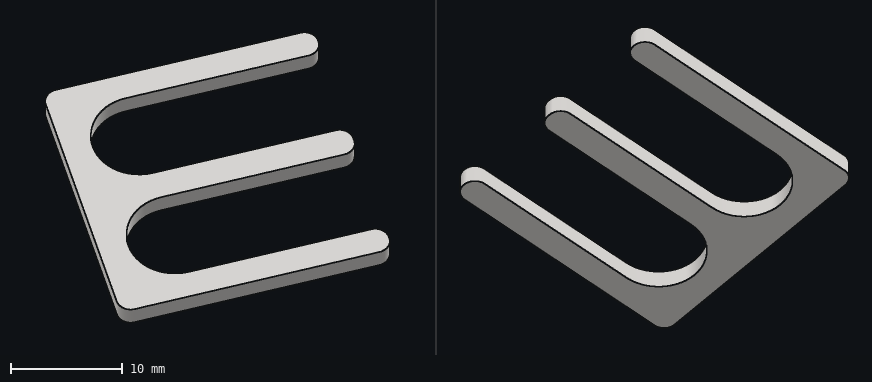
import cadquery as cq

side = 25.4
thickness = 2.0
corner_radius = 1.3

slot_width = 8.64
slot_pitch = 11.45
base_width = 2.75

slot_radius = slot_width / 2
slot_center_y = -side / 2 + base_width + slot_radius
slot_straight_length = side / 2 - slot_center_y


def slot_cutter(center_x):
    """Through slot with a semicircular bottom and an open +Y end."""
    round_bottom = (
        cq.Workplane("XY")
        .center(center_x, slot_center_y)
        .circle(slot_radius)
        .extrude(thickness)
    )
    straight = (
        cq.Workplane("XY")
        .center(center_x, slot_center_y + slot_straight_length / 2)
        .rect(slot_width, slot_straight_length)
        .extrude(thickness)
    )
    return round_bottom.union(straight)


plate = cq.Workplane("XY").box(side, side, thickness, centered=(True, True, False))
for center_x in (-slot_pitch / 2, slot_pitch / 2):
    plate = plate.cut(slot_cutter(center_x))

plate = plate.faces(">Y").edges("|Z").fillet(corner_radius)
result = plate.faces("<Y").edges("|Z").fillet(corner_radius)